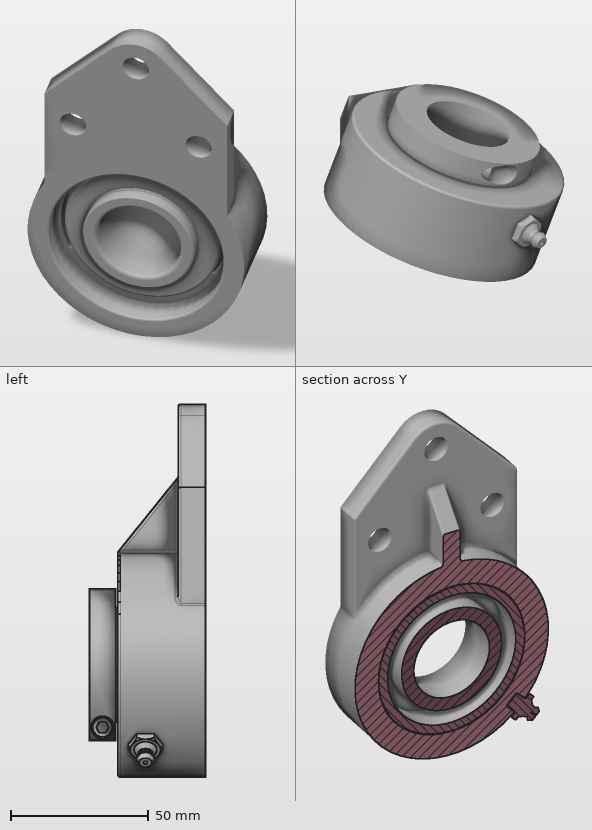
import cadquery as cq
import math


body_radius = 41.0
body_depth = 32.0
edge_round = 1.0

plate_thickness = 10.0
plate_half_width = 34.6
shoulder_height = 64.6
plate_top = 95.0
top_radius = 13.0

bolt_hole_diameter = 10.0
top_bolt_height = 84.0
side_bolt_height = 52.5
side_bolt_offset = 23.8

rib_width = 7.4
rib_foot_height = 68.3
root_round = 1.2

front_bore_diameter = 66.02
seat_center_y = 18.9
seat_diameter = 62.02
seat_front_y = 9.1
loading_slot_height = 26.0

outer_ring_half_width = 10.4
outer_ring_chamfer = 0.65
outer_ring_bore_diameter = 54.0
seal_bore_diameter = 42.51
seal_rise = 0.4
seal_thickness = 1.5

inner_ring_diameter = 42.0
inner_ring_shoulder_y = 7.0
shaft_diameter = 31.75
inner_ring_front_y = 3.0
inner_ring_front_chamfer = 0.6
shaft_bore_round = 1.5

collar_diameter = 55.5
collar_front_y = 32.8
collar_back_y = 42.3
collar_seat_diameter = 36.0
screw_y = (collar_front_y + collar_back_y) / 2
screw_z = -22.8
counterbore_diameter = 8.25
screw_head_diameter = 7.0
screw_head_x = -10.0
screw_head_height = 4.0
screw_shank_diameter = 4.0
screw_shank_length = 16.0
screw_seat_x = screw_head_x + screw_head_height
screw_end_x = screw_seat_x + screw_shank_length
screw_socket_flats = 4.0
screw_socket_depth = 2.0

nipple_y = 21.9
nipple_tilt = -135.0
nipple_shank_diameter = 6.0
nipple_shank_length = 5.0
nipple_hex_flats = 11.0
nipple_hex_height = 2.8
nipple_cone_diameter = 8.4
nipple_step_diameter = 5.4
nipple_step_start = 4.8
nipple_neck_diameter = 4.8
nipple_neck_start = 5.8
nipple_neck_end = 6.2
nipple_head_diameter = 6.5
nipple_head_height = 7.4
nipple_tip_diameter = 4.6
nipple_length = 9.4
nipple_hole_diameter = 1.48
nipple_hole_depth = 3.0


def ring(profile):
    """Revolve a closed outline of (radius, y) points about the Y axis."""
    return cq.Workplane("XY").polyline(profile).close().revolve(360, (0, 0), (0, 1))


def cylinder(diameter, start_y, end_y, x=0.0, z=0.0):
    """Solid cylinder parallel to the Y axis."""
    start = cq.Vector(x, start_y, z)
    return cq.Workplane(cq.Solid.makeCylinder(diameter / 2, end_y - start_y, start, cq.Vector(0, 1, 0)))


def hexagon_corners(across_flats):
    """Size of a regular hexagon measured across its corners."""
    return across_flats / math.cos(math.pi / 6)


def make_plate():
    """Flange plate with two shoulders and a rounded top tangent to its slopes."""
    arc_center = plate_top - top_radius
    drop = arc_center - shoulder_height
    reach = math.hypot(plate_half_width, drop)
    tangent_angle = math.acos(top_radius / reach) - math.atan2(drop, plate_half_width)
    tangent_x = top_radius * math.cos(tangent_angle)
    tangent_z = arc_center + top_radius * math.sin(tangent_angle)
    plate = (
        cq.Workplane("XZ")
        .moveTo(-plate_half_width, 0)
        .lineTo(-plate_half_width, shoulder_height)
        .lineTo(-tangent_x, tangent_z)
        .threePointArc((0, plate_top), (tangent_x, tangent_z))
        .lineTo(plate_half_width, shoulder_height)
        .lineTo(plate_half_width, 0)
        .close()
        .extrude(-plate_thickness)
    )
    return plate.faces(">Y").edges("not <Z").fillet(edge_round)


def make_rib():
    """Sloping rib from the back of the body down to the plate."""
    rib = (
        cq.Workplane("YZ")
        .moveTo(0, 0)
        .lineTo(body_depth, 0)
        .lineTo(body_depth, body_radius)
        .lineTo(plate_thickness, rib_foot_height)
        .lineTo(0, rib_foot_height)
        .close()
        .extrude(rib_width / 2, both=True)
    )
    slope_middle = (0, (body_depth + plate_thickness) / 2, (body_radius + rib_foot_height) / 2)
    return rib.faces(cq.selectors.NearestToPointSelector(slope_middle)).edges("not |X").fillet(edge_round)


def nipple_placed(shape):
    """Move a shape built along +Z to the lower left of the body, pointing radially outwards."""
    raised = shape.translate((0, 0, body_radius))
    return raised.rotate((0, 0, 0), (0, 1, 0), nipple_tilt).translate((0, nipple_y, 0))


def make_housing():
    body = cylinder(2 * body_radius, 0, body_depth).faces(">Y").edges().fillet(edge_round)
    housing = body.union(make_plate())
    housing = housing.union(make_rib())

    margin = 0.1
    root_on_plate = cq.selectors.BoxSelector(
        (-body_radius / 2, plate_thickness - margin, 0),
        (body_radius / 2, plate_thickness + margin, rib_foot_height - margin),
    )
    root_on_body = cq.selectors.BoxSelector(
        (-rib_width / 2 - margin, plate_thickness, body_radius - edge_round),
        (rib_width / 2 + margin, body_depth, body_radius),
    )
    housing = housing.edges(root_on_plate + root_on_body).fillet(root_round)

    front_bore = cylinder(front_bore_diameter, 0, seat_front_y).faces(">Y").edges().fillet(edge_round)
    seat = cq.Workplane("XY").sphere(seat_diameter / 2).translate((0, seat_center_y, 0))
    housing = housing.cut(front_bore).cut(seat)

    slot_depth = seat_center_y - seat_front_y
    loading_slot = cylinder(seat_diameter, seat_front_y, seat_center_y).intersect(
        cq.Workplane("XY")
        .box(seat_diameter, slot_depth, loading_slot_height)
        .translate((0, seat_front_y + slot_depth / 2, 0))
    )
    housing = housing.cut(loading_slot)

    housing = housing.faces("<Y").wires(cq.selectors.RadiusNthSelector(0)).fillet(edge_round)

    bolt_places = [
        (0, top_bolt_height),
        (-side_bolt_offset, side_bolt_height),
        (side_bolt_offset, side_bolt_height),
    ]
    for x, z in bolt_places:
        housing = housing.cut(cylinder(bolt_hole_diameter, 0, plate_thickness, x, z))

    shank_hole = cq.Workplane("XY").circle(nipple_shank_diameter / 2).extrude(-nipple_shank_length)
    return housing.cut(nipple_placed(shank_hole))


def make_outer_ring():
    """Ring with a spherical outside, wider at its middle than at its faces."""
    front = seat_center_y - outer_ring_half_width
    back = seat_center_y + outer_ring_half_width
    bore_radius = outer_ring_bore_diameter / 2
    face_radius = math.sqrt((seat_diameter / 2) ** 2 - outer_ring_half_width**2)
    return (
        cq.Workplane("XY")
        .moveTo(bore_radius, front)
        .lineTo(face_radius, front)
        .threePointArc((seat_diameter / 2, seat_center_y), (face_radius, back))
        .lineTo(bore_radius, back)
        .close()
        .revolve(360, (0, 0), (0, 1))
        .edges(cq.selectors.RadiusNthSelector(1))
        .chamfer(outer_ring_chamfer)
    )


def make_seal(face_y, outward):
    """Slightly coned seal: its inner rim stands proud of the outer ring's face."""
    outer = outer_ring_bore_diameter / 2
    inner = seal_bore_diameter / 2
    inner_face_y = face_y + outward * seal_rise
    back_y = face_y - outward * seal_thickness
    return ring([(inner, inner_face_y), (outer, face_y), (outer, back_y), (inner, back_y)])


def make_inner_ring():
    """Ring with a wider shoulder inside the seals and a narrower neck under the collar."""
    blank = cylinder(inner_ring_diameter, inner_ring_front_y, collar_front_y)
    blank = blank.faces("<Y").edges().chamfer(inner_ring_front_chamfer)
    shoulder_back_y = 2 * seat_center_y - inner_ring_shoulder_y
    blank = blank.union(cylinder(seal_bore_diameter, inner_ring_shoulder_y, shoulder_back_y))
    blank = blank.union(cylinder(collar_seat_diameter, collar_front_y, collar_back_y))
    blank = blank.cut(cylinder(shaft_diameter, inner_ring_front_y, collar_back_y))
    bore_edge = cq.selectors.RadiusNthSelector(0)
    return blank.faces("<Y").edges(bore_edge).fillet(shaft_bore_round)


def screw_rod(diameter, start_x, end_x):
    """Solid cylinder along the axis of the clamp screw, parallel to X."""
    start = cq.Vector(start_x, screw_y, screw_z)
    return cq.Workplane(cq.Solid.makeCylinder(diameter / 2, end_x - start_x, start, cq.Vector(1, 0, 0)))


def make_collar():
    collar = cylinder(collar_diameter, collar_front_y, collar_back_y)
    collar = collar.cut(cylinder(collar_seat_diameter, collar_front_y, collar_back_y))
    collar = collar.cut(screw_rod(counterbore_diameter, -collar_diameter / 2, screw_seat_x))
    return collar.cut(screw_rod(screw_shank_diameter, screw_seat_x, screw_end_x))


def make_screw():
    screw = screw_rod(screw_head_diameter, screw_head_x, screw_seat_x)
    screw = screw.union(screw_rod(screw_shank_diameter, screw_seat_x, screw_end_x))
    socket = (
        cq.Workplane("YZ", origin=(screw_head_x, screw_y, screw_z))
        .polygon(6, hexagon_corners(screw_socket_flats))
        .extrude(screw_socket_depth)
    )
    return screw.cut(socket)


def make_nipple():
    hex_corners = hexagon_corners(nipple_hex_flats)
    hex_base = (
        cq.Workplane("XY")
        .polygon(6, hex_corners)
        .extrude(nipple_hex_height)
        .rotate((0, 0, 0), (0, 0, 1), 90)
    )
    stem = (
        cq.Workplane("XZ")
        .moveTo(0, -nipple_shank_length)
        .lineTo(nipple_shank_diameter / 2, -nipple_shank_length)
        .lineTo(nipple_shank_diameter / 2, nipple_hex_height)
        .lineTo(nipple_cone_diameter / 2, nipple_hex_height)
        .lineTo(nipple_step_diameter / 2, nipple_step_start)
        .lineTo(nipple_step_diameter / 2, nipple_neck_start)
        .lineTo(nipple_neck_diameter / 2, nipple_neck_start)
        .lineTo(nipple_neck_diameter / 2, nipple_neck_end)
        .lineTo(nipple_head_diameter / 2, nipple_head_height)
        .lineTo(nipple_tip_diameter / 2, nipple_length)
        .lineTo(0, nipple_length)
        .close()
        .revolve(360, (0, 0), (0, 1))
    )
    corner_chamfer = (hex_corners - nipple_hex_flats) / 2
    chamfered_disc = (
        cq.Workplane("XY")
        .circle(hex_corners / 2)
        .extrude(nipple_hex_height)
        .faces(">Z")
        .chamfer(corner_chamfer)
    )
    nipple = hex_base.intersect(chamfered_disc).union(stem)
    grease_hole = (
        cq.Workplane("XY", origin=(0, 0, nipple_length))
        .circle(nipple_hole_diameter / 2)
        .extrude(-nipple_hole_depth)
    )
    return nipple_placed(nipple.cut(grease_hole))


housing = make_housing()
outer_ring = make_outer_ring()
inner_ring = make_inner_ring()
seals = [make_seal(seat_center_y + side * outer_ring_half_width, side) for side in (-1, 1)]
collar = make_collar()
screw = make_screw()
nipple = make_nipple()

result = cq.Compound.makeCompound([
    housing.val(),
    outer_ring.val(),
    inner_ring.val(),
    *[seal.val() for seal in seals],
    collar.val(),
    screw.val(),
    nipple.val(),
])